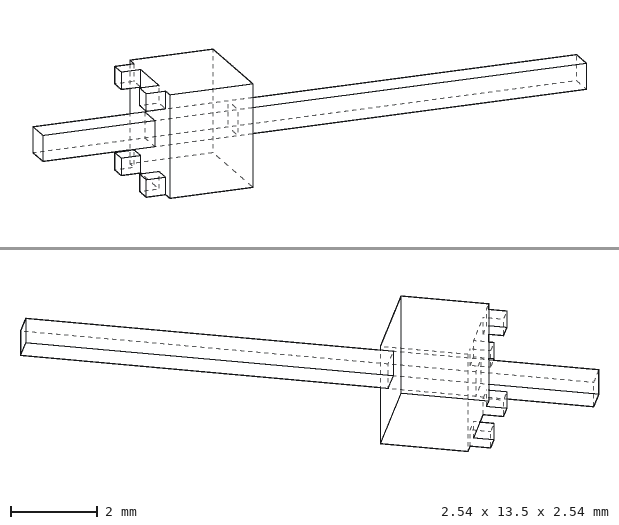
import cadquery as cq


pitch = 2.54
standoff_length = 0.48
housing_depth = pitch - standoff_length

standoff_width = 0.42
standoff_height = 0.43
standoff_spacing = 1.58

pin_side = 0.64
pin_length = 13.46
pin_front_length = 2.77


def block(size_x, size_y, size_z, center_x, front_y, center_z):
    """Box centred in X and Z that extends towards +Y from front_y."""
    return (
        cq.Workplane("XY")
        .box(size_x, size_y, size_z, centered=(True, False, True))
        .translate((center_x, front_y, center_z))
    )


def make_pin():
    """Straight square pin."""
    return block(pin_side, pin_length, pin_side, 0, -pin_front_length, 0)


def make_housing():
    """Square block with four standoff feet and a square through hole for the pin."""
    housing = block(pitch, housing_depth, pitch, 0, 0, 0)

    foot_z = (pitch - standoff_height) / 2
    for side_x in (-1, 1):
        for side_z in (-1, 1):
            foot = block(
                standoff_width,
                standoff_length,
                standoff_height,
                side_x * standoff_spacing / 2,
                -standoff_length,
                side_z * foot_z,
            )
            housing = housing.union(foot)

    pin_hole = block(pin_side, housing_depth, pin_side, 0, 0, 0)
    return housing.cut(pin_hole)


housing = make_housing()
pin = make_pin()

result = cq.Compound.makeCompound([housing.solids().val(), pin.val()])